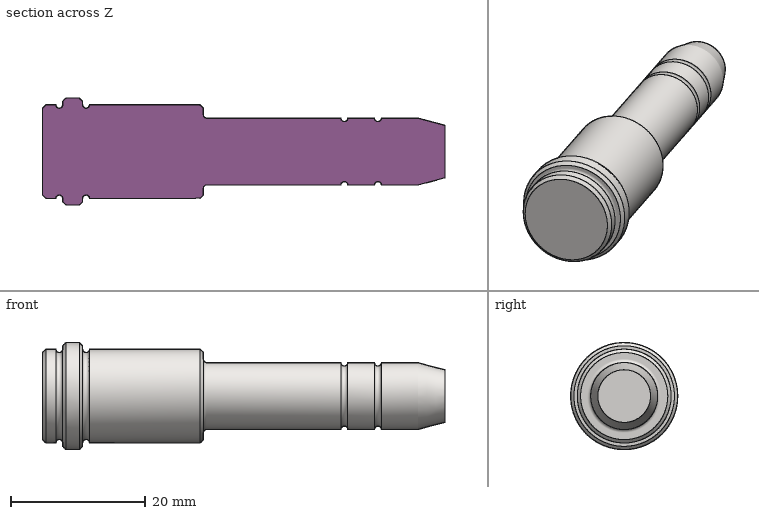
import cadquery as cq
import math


total_length = 60.0
collar_start = 3.0
collar_end = 6.0
shoulder_position = 24.0
taper_length = 4.0

head_radius = 14.0 / 2
collar_radius = 16.0 / 2
shaft_radius = 10.0 / 2

edge_chamfer = 0.5
shoulder_fillet = 0.5
taper_angle = 15.0

groove_radius = 0.5
shaft_groove_centers = (45.0, 50.0)

half_length = total_length / 2


def along(distance):
    """X coordinate of a point at a distance from the head face."""
    return distance - half_length


def pin_body():
    """Solid of revolution without the grooves."""
    tip_radius = shaft_radius - taper_length * math.tan(math.radians(taper_angle))
    fillet_drop = shoulder_fillet * (1 - math.sqrt(0.5))
    profile = (
        cq.Workplane("XY")
        .moveTo(along(0), 0)
        .lineTo(along(0), head_radius - edge_chamfer)
        .lineTo(along(edge_chamfer), head_radius)
        .lineTo(along(collar_start), head_radius)
        .lineTo(along(collar_start), collar_radius - edge_chamfer)
        .lineTo(along(collar_start + edge_chamfer), collar_radius)
        .lineTo(along(collar_end - edge_chamfer), collar_radius)
        .lineTo(along(collar_end), collar_radius - edge_chamfer)
        .lineTo(along(collar_end), head_radius)
        .lineTo(along(shoulder_position - edge_chamfer), head_radius)
        .lineTo(along(shoulder_position), head_radius - edge_chamfer)
        .lineTo(along(shoulder_position), shaft_radius + shoulder_fillet)
        .threePointArc(
            (along(shoulder_position + fillet_drop), shaft_radius + fillet_drop),
            (along(shoulder_position + shoulder_fillet), shaft_radius),
        )
        .lineTo(along(total_length - taper_length), shaft_radius)
        .lineTo(along(total_length), tip_radius)
        .lineTo(along(total_length), 0)
        .close()
    )
    return profile.revolve(360, (0, 0, 0), (1, 0, 0))


def groove_ring(center, surface_radius):
    """Torus that cuts a half-round groove into a cylinder of surface_radius."""
    return cq.Solid.makeTorus(
        surface_radius,
        groove_radius,
        cq.Vector(along(center), 0, 0),
        cq.Vector(1, 0, 0),
    )


result = pin_body()

for relief_center in (collar_start - groove_radius, collar_end + groove_radius):
    result = result.cut(groove_ring(relief_center, head_radius))

for groove_center in shaft_groove_centers:
    result = result.cut(groove_ring(groove_center, shaft_radius))